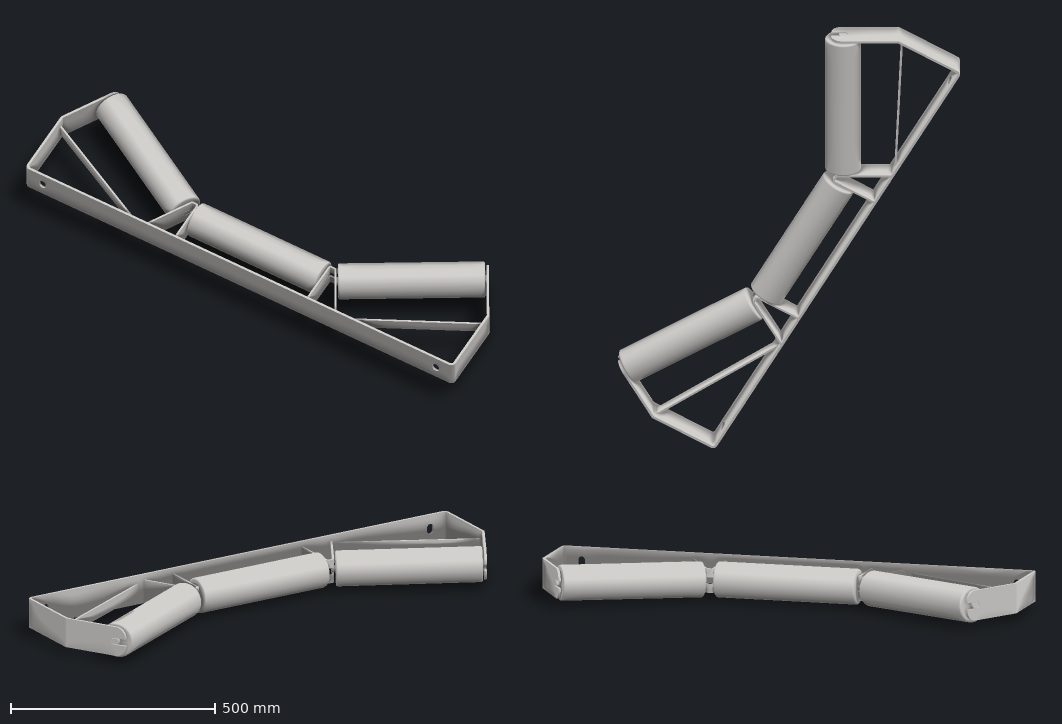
import cadquery as cq
import math

strip_thickness = 6.0
strip_height = 75.0
frame_length = 1210.0
bend_y = 178.0
wing_length = 166.0
wing_corner_radius = 27.0
base_bend_radius = 12.0
wing_bend_radius = 7.0
mount_hole_inset = 50.0
mount_hole_width = 18.0
mount_hole_height = 27.0

trough_angle = 30.0
roller_length = 360.0
roller_diameter = 88.0
roller_gap = 4.0
roller_edge_radius = 5.0
center_roller_y = 100.0
side_roller_reach = 137.0

shaft_diameter = 20.0
shaft_flat_width = 13.0
slot_width = 17.0
slot_clearance = 1.0

bracket_thickness = 5.0
bracket_height = 60.0
bracket_top_y = 125.0
bracket_bend_radius = 7.0
brace_height = 30.0
brace_thickness = 5.0
brace_wall_y = 168.0
brace_base_x = -287.0

angle = math.radians(trough_angle)
half_length = frame_length / 2
pocket_length = roller_length + 2 * roller_gap
bracket_z = (bracket_height - strip_height) / 2
along_roller = cq.Vector(math.cos(angle), -math.sin(angle))
along_wing = cq.Vector(math.sin(angle), math.cos(angle))
bend_corner = cq.Vector(-half_length, bend_y)
wing_tip = bend_corner + along_wing * wing_length
roller_middle = (
    bend_corner
    + along_wing * side_roller_reach
    + along_roller * (strip_thickness + pocket_length / 2)
)
tilt = math.degrees(math.asin(-bracket_z / pocket_length))


def mirrored(body):
    return body.mirror("YZ")


def flat_bar(points, height):
    """Extrude an XY outline to a height centred on Z = 0."""
    plane = cq.Workplane("XY").workplane(offset=-height / 2)
    return plane.polyline(points).close().extrude(height)


def nearest(x, y, z):
    return cq.selectors.NearestToPointSelector((x, y, z))


def xy(vector):
    return (vector.x, vector.y)


def place_side(body):
    """Move a body from the roller's own axes (X along, Y up its slot) to the left side."""
    return (
        body.rotate((0, 0, 0), (0, 1, 0), tilt)
        .rotate((0, 0, 0), (0, 0, 1), -trough_angle)
        .translate((roller_middle.x, roller_middle.y, bracket_z / 2))
    )


def place_center(body):
    return body.translate((0, center_roller_y, bracket_z))


def rod(diameter, length):
    """Cylinder along X, centred on the origin."""
    return cq.Workplane("YZ").workplane(offset=-length / 2).circle(diameter / 2).extrude(length)


def make_roller(left_plate, right_plate):
    """Roller drum with a flatted shaft that ends flush with the outside of the plates beside it."""
    drum = rod(roller_diameter, roller_length).edges("%CIRCLE").fillet(roller_edge_radius)
    left_end = -pocket_length / 2 - left_plate
    right_end = pocket_length / 2 + right_plate
    flats = cq.Workplane("XY").box(right_end - left_end, shaft_diameter, shaft_flat_width)
    flats = flats.translate(((left_end + right_end) / 2, 0, 0))
    shaft = rod(shaft_diameter, 2 * pocket_length).intersect(flats)
    return drum.union(shaft)


def make_slots():
    """Cutters for the shaft slots at both ends of a roller, open toward +Y."""
    overcut = strip_thickness
    length = pocket_length + 2 * (strip_thickness + overcut)
    rise = roller_diameter
    round_y = (slot_width - shaft_diameter) / 2 - slot_clearance
    walls = cq.Workplane("XY").box(length, rise, slot_width).translate((0, round_y + rise / 2, 0))
    bottom = rod(slot_width, length).translate((0, round_y, 0))
    between = cq.Workplane("XY").box(roller_length, 2 * (rise + slot_width), 2 * slot_width)
    return walls.union(bottom).cut(between)


def make_frame():
    """One bent strip: base, two side walls and two slotted wings leaning inward."""
    wall_inner_x = -half_length + strip_thickness
    wall_inner_y = bend_y - strip_thickness * math.tan(angle / 2)
    left = [
        (wall_inner_x, strip_thickness),
        (wall_inner_x, wall_inner_y),
        xy(wing_tip + along_roller * strip_thickness),
        xy(wing_tip),
        xy(bend_corner),
        (-half_length, 0),
    ]
    right = [(-x, y) for x, y in reversed(left)]
    frame = flat_bar(left + right, strip_height)
    bends = [
        (0, strip_thickness, base_bend_radius),
        (bend_y, wall_inner_y, wing_bend_radius),
    ]
    tip = wing_tip + along_roller * (strip_thickness / 2)
    for side in (-1, 1):
        for outer_y, inner_y, radius in bends:
            outer = nearest(side * half_length, outer_y, 0)
            frame = frame.edges(outer).fillet(radius)
            inner = nearest(side * wall_inner_x, inner_y, 0)
            frame = frame.edges(inner).fillet(radius - strip_thickness)
        for end in (-1, 1):
            corner = nearest(side * tip.x, tip.y, end * strip_height / 2)
            frame = frame.edges(corner).fillet(wing_corner_radius)
    hole_x = half_length - mount_hole_inset
    holes = (
        cq.Workplane("XZ")
        .pushPoints([(-hole_x, 0), (hole_x, 0)])
        .slot2D(mount_hole_height, mount_hole_width, 90)
        .extrude(-strip_thickness)
    )
    slots = place_side(make_slots())
    return frame.cut(holes).cut(slots).cut(mirrored(slots))


def make_bracket():
    """Bent strip with one leg beside the centre roller and one beside the side roller."""
    center_face_x = -pocket_length / 2
    side_face = bend_corner + along_roller * (strip_thickness + pocket_length)
    lean = math.tan(angle)
    leg_width = bracket_thickness / math.cos(angle)

    def side_face_x(y):
        return side_face.x + (y - side_face.y) * lean

    inner_top_y = bracket_top_y - bracket_thickness
    outline = [
        (center_face_x, strip_thickness),
        (center_face_x, bracket_top_y),
        (side_face_x(bracket_top_y), bracket_top_y),
        (side_face_x(strip_thickness), strip_thickness),
        (side_face_x(strip_thickness) + leg_width, strip_thickness),
        (side_face_x(inner_top_y) + leg_width, inner_top_y),
        (center_face_x - bracket_thickness, inner_top_y),
        (center_face_x - bracket_thickness, strip_thickness),
    ]
    bracket = flat_bar(outline, bracket_height).translate((0, 0, bracket_z))
    bracket = bracket.edges("|Z and >Y").fillet(bracket_bend_radius)
    for inner_x in (side_face_x(inner_top_y) + leg_width, center_face_x - bracket_thickness):
        inner = nearest(inner_x, inner_top_y, bracket_z)
        bracket = bracket.edges(inner).fillet(bracket_bend_radius - bracket_thickness)
    return bracket.cut(place_center(make_slots())).cut(place_side(make_slots()))


def make_brace():
    """Flat diagonal bar between a side wall and the base."""
    wall_x = -half_length + strip_thickness
    slope = math.atan2(brace_wall_y - strip_thickness, brace_base_x - wall_x)
    outline = [
        (wall_x, brace_wall_y),
        (brace_base_x, strip_thickness),
        (brace_base_x - brace_thickness / math.sin(slope), strip_thickness),
        (wall_x, brace_wall_y - brace_thickness / math.cos(slope)),
    ]
    return flat_bar(outline, brace_height)


frame = make_frame()
center_roller = place_center(make_roller(bracket_thickness, bracket_thickness))
side_roller = place_side(make_roller(strip_thickness, bracket_thickness))

bodies = [*frame.solids().vals(), *center_roller.solids().vals()]
for part in (side_roller, make_bracket(), make_brace()):
    bodies.extend(part.solids().vals())
    bodies.extend(mirrored(part).solids().vals())

result = cq.Compound.makeCompound(bodies)